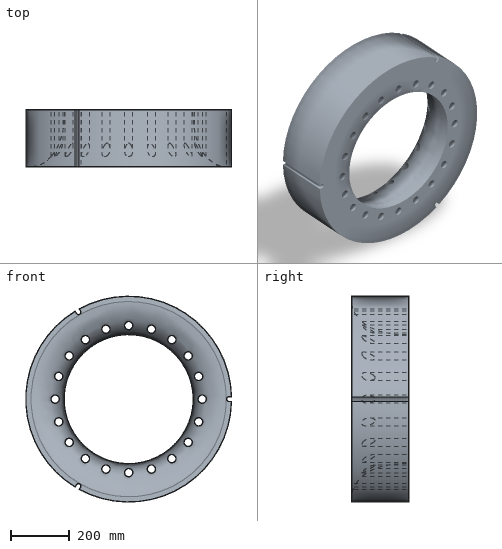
import cadquery as cq

outer_radius = 351.0
length = 195.0
mouth_radius = 333.0
throat_radius = 220.0
throat_length = 24.0

hole_count = 20
hole_circle_radius = 250.5
hole_diameter = 27.5

slot_count = 3
slot_width = 15.5
slot_depth = 17.0

front_y = -length / 2
back_y = length / 2
throat_y = back_y - throat_length
flare_length = length - throat_length
flare_height = mouth_radius - throat_radius


def make_ring():
    """Revolve the wall section; its flare is a quarter ellipse tangent to the throat."""
    flare = cq.Edge.makeEllipse(
        flare_length,
        flare_height,
        pnt=cq.Vector(mouth_radius, throat_y, 0),
        dir=cq.Vector(0, 0, 1),
        xdir=cq.Vector(0, 1, 0),
        angle1=90,
        angle2=180,
    )
    corners = [
        (mouth_radius, front_y),
        (outer_radius, front_y),
        (outer_radius, back_y),
        (throat_radius, back_y),
        (throat_radius, throat_y),
    ]
    walls = [
        cq.Edge.makeLine(cq.Vector(*start), cq.Vector(*end))
        for start, end in zip(corners, corners[1:])
    ]
    section = cq.Wire.assembleEdges([flare] + walls)
    ring = cq.Solid.revolve(section, [], 360, cq.Vector(0, 0, 0), cq.Vector(0, 1, 0))
    return cq.Workplane(ring)


def make_holes():
    """Ring of axial through holes."""
    return (
        cq.Workplane("XZ", origin=(0, back_y, 0))
        .polarArray(hole_circle_radius, 0, 360, hole_count)
        .circle(hole_diameter / 2)
        .extrude(length)
    )


def make_slot(angle):
    """Full-length slot opening outward, with a semicircular bottom."""
    slot_radius = slot_width / 2
    bottom_center = outer_radius - slot_depth + slot_radius
    open_end = outer_radius + slot_width
    slot = (
        cq.Workplane("XZ", origin=(0, back_y, 0))
        .moveTo(open_end, -slot_radius)
        .lineTo(bottom_center, -slot_radius)
        .threePointArc((outer_radius - slot_depth, 0), (bottom_center, slot_radius))
        .lineTo(open_end, slot_radius)
        .close()
        .extrude(length)
    )
    return slot.rotate((0, 0, 0), (0, 1, 0), angle)


result = make_ring().cut(make_holes())
for index in range(slot_count):
    result = result.cut(make_slot(index * 360 / slot_count))